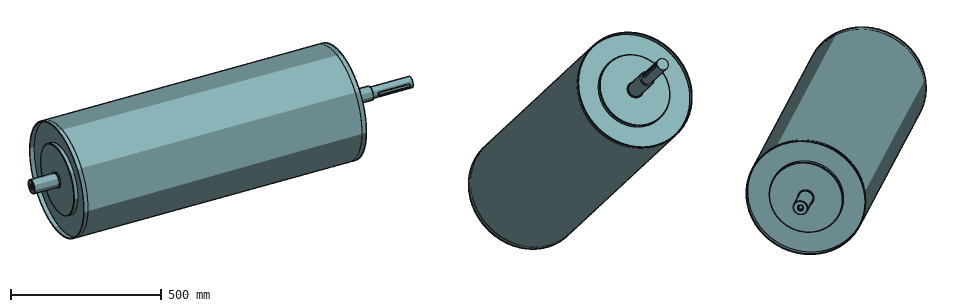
import cadquery as cq
import math

shell_diameter = 406
shell_length = 1050

disc_diameter = 400
disc_recess = 16
hub_diameter = 250
hub_height = 15
hub_chamfer = 2

collar_diameter = 55
collar_projection = 4
journal_diameter = 50
front_journal_length = 95
front_end_chamfer = 2
rear_journal_length = 115
drive_diameter = 40
drive_length = 150

key_width = 12
key_depth = 5
key_length = 120
key_end_gap = 10

mouth_diameter = 21
mouth_angle = 60
relief_diameter = 17
relief_depth = 6
bore_diameter = 13.84
bore_depth = 40
drill_tip_angle = 120


def cylinder(diameter, y_start, y_end):
    """Solid cylinder on the Y axis between two stations."""
    plane = cq.Workplane("XZ", origin=(0, y_start, 0))
    return plane.circle(diameter / 2).extrude(y_start - y_end)


def cone(diameter, end_diameter, y_start, angle):
    """Cone frustum on the Y axis that narrows toward +Y at the given included angle."""
    length = (diameter - end_diameter) / 2 / math.tan(math.radians(angle / 2))
    base = cq.Vector(0, y_start, 0)
    return cq.Solid.makeCone(diameter / 2, end_diameter / 2, length, base, cq.Vector(0, 1, 0))


def make_body():
    """Shell with a recessed disc and a raised hub at both ends."""
    body = cylinder(shell_diameter, 0, shell_length)
    body = body.cut(cylinder(disc_diameter, 0, disc_recess))
    body = body.cut(cylinder(disc_diameter, shell_length - disc_recess, shell_length))
    hub_inset = disc_recess - hub_height
    hubs = cylinder(hub_diameter, hub_inset, shell_length - hub_inset)
    hubs = hubs.faces("<Y or >Y").chamfer(hub_chamfer)
    return body.union(hubs)


def make_shaft():
    """Stepped shaft running through the body."""
    journal_end = shell_length + rear_journal_length
    shaft = cylinder(journal_diameter, -front_journal_length, journal_end)
    shaft = shaft.faces("<Y").chamfer(front_end_chamfer)
    collars = cylinder(collar_diameter, -collar_projection, shell_length + collar_projection)
    shaft = shaft.union(collars)
    return shaft.union(cylinder(drive_diameter, journal_end, journal_end + drive_length))


def make_keyway():
    """Round-ended slot cut from the +X side of the drive end."""
    drive_radius = drive_diameter / 2
    shaft_end = shell_length + rear_journal_length + drive_length
    key_centre = shaft_end - key_end_gap - key_length / 2
    floor = cq.Workplane("YZ", origin=(drive_radius - key_depth, key_centre, 0))
    return floor.slot2D(key_length, key_width).extrude(drive_radius)


def make_centre_hole():
    """Pointed bore with a wider relief and a conical mouth in the front end of the shaft."""
    front_end = -front_journal_length
    bore_end = front_end + bore_depth
    bore = cylinder(bore_diameter, front_end, bore_end)
    drill_tip = cone(bore_diameter, 0, bore_end, drill_tip_angle)
    relief = cylinder(relief_diameter, front_end, front_end + relief_depth)
    mouth = cone(mouth_diameter, relief_diameter, front_end, mouth_angle)
    return bore.union(drill_tip).union(relief).union(mouth)


roller = make_body().union(make_shaft())
result = roller.cut(make_keyway()).cut(make_centre_hole())